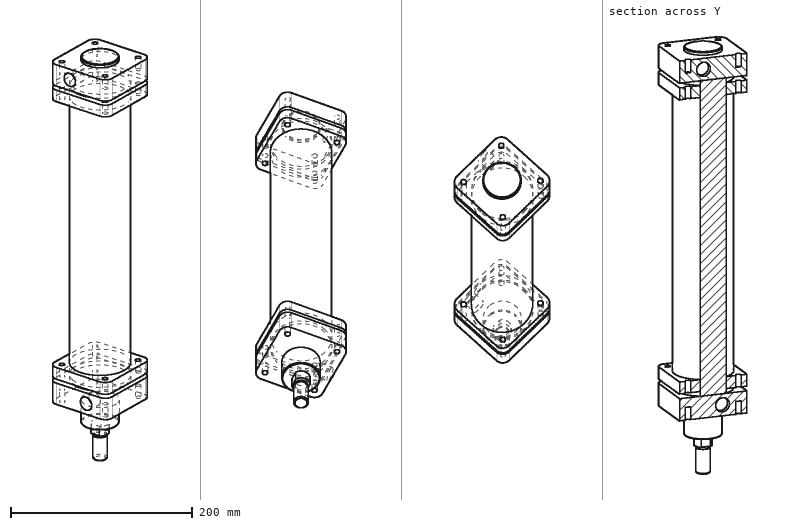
import cadquery as cq

total_height = 491.0
rod_length = 44.0
front_boss_height = 28.0
rear_boss_height = 4.0
cap_thickness = 26.0
flange_thickness = 14.0
cap_to_flange_gap = 5.0

square_side = 80.0
corner_radius = 10.0
bolt_spacing = 60.0
bolt_hole_diameter = 6.0
cap_hole_depth = 14.5

boss_diameter = 42.0
boss_chamfer = 1.0

port_diameter = 15.5
port_depth = 15.0
port_offset = 11.5

barrel_diameter = 68.0

rod_diameter = 20.0
wrench_flat_width = 17.0
thread_diameter = 16.0
thread_length = 29.0
thread_chamfer = 1.5
relief_diameter = 13.7
relief_length = 3.0

front_cap_bottom = rod_length + front_boss_height
front_cap_top = front_cap_bottom + cap_thickness
front_flange_bottom = front_cap_top + cap_to_flange_gap
rear_cap_top = total_height - rear_boss_height
rear_cap_bottom = rear_cap_top - cap_thickness
rear_flange_bottom = rear_cap_bottom - cap_to_flange_gap - flange_thickness
barrel_length = rear_cap_bottom - front_cap_top


def cylinder(diameter, bottom, height):
    """Round bar on the Z axis, starting at the level `bottom`."""
    return cq.Workplane("XY", origin=(0, 0, bottom)).circle(diameter / 2).extrude(height)


def square_plate(bottom, thickness):
    """Square plate with rounded vertical edges."""
    plate = cq.Workplane("XY", origin=(0, 0, bottom)).rect(square_side, square_side).extrude(thickness)
    return plate.edges("|Z").fillet(corner_radius)


def bolt_holes(bottom, depth):
    """Cutting tool for one hole near each corner, rising from the level `bottom`."""
    return (
        cq.Workplane("XY", origin=(0, 0, bottom))
        .rect(bolt_spacing, bolt_spacing, forConstruction=True)
        .vertices()
        .circle(bolt_hole_diameter / 2)
        .extrude(depth)
    )


def cut_port(cap, port_x, cap_bottom):
    """Blind port in the -Y side, at mid thickness of the cap."""
    port = (
        cq.Workplane("XZ", origin=(port_x, -square_side / 2, cap_bottom + cap_thickness / 2))
        .circle(port_diameter / 2)
        .extrude(-port_depth)
    )
    return cap.cut(port)


def make_front_cap():
    """Rod-end cap with the long boss below it and blind bolt holes in its lower face."""
    boss = cylinder(boss_diameter, rod_length, front_boss_height)
    boss = boss.faces("<Z").chamfer(boss_chamfer)
    cap = square_plate(front_cap_bottom, cap_thickness).union(boss)
    cap = cap.cut(bolt_holes(front_cap_bottom, cap_hole_depth))
    return cut_port(cap, port_offset, front_cap_bottom)


def make_rear_cap():
    """Closed-end cap with the low boss above it and blind bolt holes in its upper face."""
    boss = cylinder(boss_diameter, rear_cap_top, rear_boss_height)
    boss = boss.faces(">Z").chamfer(boss_chamfer)
    cap = square_plate(rear_cap_bottom, cap_thickness).union(boss)
    cap = cap.cut(bolt_holes(rear_cap_top - cap_hole_depth, cap_hole_depth))
    return cut_port(cap, -port_offset, rear_cap_bottom)


def make_flange(bottom):
    """Square flange that fits around the barrel, with through bolt holes."""
    barrel_bore = cylinder(barrel_diameter, bottom, flange_thickness)
    flange = square_plate(bottom, flange_thickness).cut(barrel_bore)
    return flange.cut(bolt_holes(bottom, flange_thickness))


def make_barrel():
    """Round barrel between the inner faces of the two caps."""
    return cylinder(barrel_diameter, front_cap_top, barrel_length)


def make_rod():
    """Rod below the front boss: wrench flats, thread relief and threaded end."""
    shoulder = thread_length + relief_length
    shank_length = rod_length - shoulder
    flats = (
        cq.Workplane("XY", origin=(0, 0, shoulder))
        .rect(rod_diameter, wrench_flat_width)
        .extrude(shank_length)
    )
    shank = cylinder(rod_diameter, shoulder, shank_length).intersect(flats)
    relief = cylinder(relief_diameter, thread_length, relief_length)
    thread = cylinder(thread_diameter, 0, thread_length).faces("<Z").chamfer(thread_chamfer)
    return shank.union(relief).union(thread)


front_cap = make_front_cap()
rear_cap = make_rear_cap()
barrel = make_barrel()
rod = make_rod()
flanges = [make_flange(bottom).val() for bottom in (front_flange_bottom, rear_flange_bottom)]

result = cq.Compound.makeCompound(
    [front_cap.val(), rear_cap.val(), barrel.val(), rod.val(), *flanges]
)